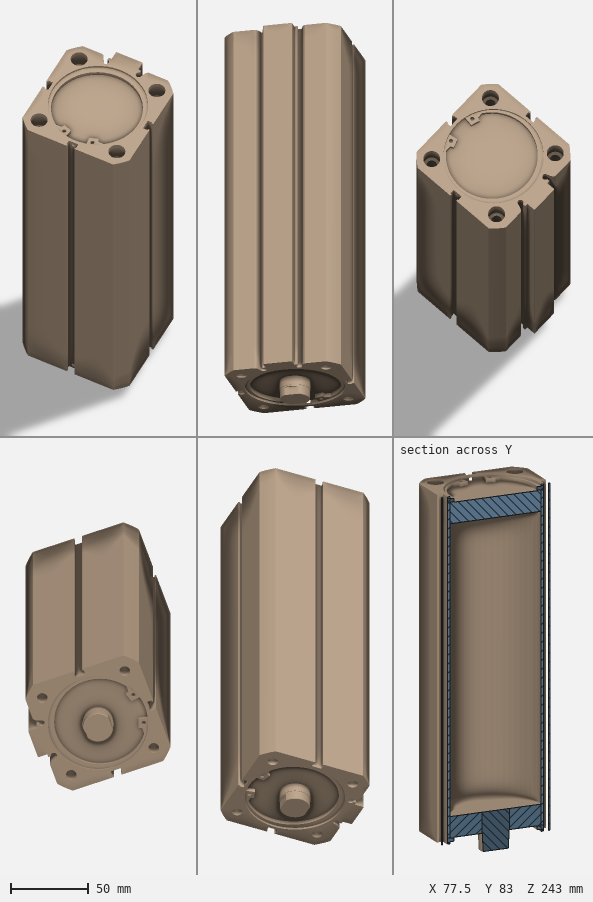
import cadquery as cq


overall_length = 243.0
rod_reach = 8.3
tube_length = overall_length - rod_reach
tube_width = 77.5
half_width = tube_width / 2
corner_round_radius = 49.5
bore_radius = 32.3

slot_depth = 4.4
slot_mouth_width = 5.0
slot_inner_width = 6.8
slot_lip_thickness = 1.2
slot_edge_round = 0.5

overall_depth = 83.0
rail_width = 19.2
rail_height = overall_depth - tube_width
rail_edge_round = 0.5
sensor_slot_x = 12.0
sensor_slot_y = 34.3
sensor_slot_radius = 2.0
sensor_flank_foot_x = sensor_slot_x + sensor_slot_radius
sensor_flank_top = (14.8, 36.7)
sensor_mouth_reach = 16.8
sensor_lip_x = 11.7
sensor_lip_drop = 0.7

mount_offset = 28.2
mount_hole_diameter = 6.8
counterbore_diameter = 11.0
counterbore_depth = 12.2

groove_depth = 2.1
groove_radius = bore_radius + groove_depth
groove_inset = 1.5
ring_thickness = 2.7
ring_inner_radius = 29.6
ring_inner_shift = -1.5
lug_hole_x = 10.2
lug_hole_y = -27.7
lug_hole_radius = 1.34
lug_shoulder_y = -25.5
lug_shoulder_start = 17.5
lug_outer_x = 13.4
lug_peak = (12.5, -23.3)
lug_gap_corner = (6.5, -25.3)
gap_outer_x = 8.0

cover_thickness = 14.5
cover_inset = groove_inset + ring_thickness

rod_radius = 10.0
rod_shoulder_reach = 2.0
rod_tip_radius = 9.7
rod_flat_offset = 8.5
rod_flat_length = 5.3
rod_tip_chamfer = 0.2


def cylinder(radius, bottom, height):
    return cq.Workplane("XY").workplane(offset=bottom).circle(radius).extrude(height)


def t_slot_cutter():
    """T-slot along the tube, open on the +X face, with rounded mouth edges."""
    floor = half_width - slot_depth
    lip = half_width - slot_lip_thickness
    mouth_half = slot_mouth_width / 2
    round_start = half_width - slot_edge_round
    mouth = (
        cq.Workplane("XY")
        .moveTo(floor, -mouth_half)
        .lineTo(round_start, -mouth_half)
        .radiusArc((half_width, -mouth_half - slot_edge_round), slot_edge_round)
        .lineTo(half_width, mouth_half + slot_edge_round)
        .radiusArc((round_start, mouth_half), slot_edge_round)
        .lineTo(floor, mouth_half)
        .close()
        .extrude(tube_length)
    )
    inner = cq.Workplane("XY").box(
        lip - floor, slot_inner_width, tube_length, centered=(False, True, False)
    ).translate((floor, 0, 0))
    return mouth.union(inner)


def sensor_slot_cutter():
    """Round-bottomed slot beside the rail, with a rounded outer flank and a lip on the rail side."""
    round_bottom = cylinder(sensor_slot_radius, 0, tube_length).translate(
        (sensor_slot_x, sensor_slot_y, 0)
    )
    mouth = (
        cq.Workplane("XY")
        .moveTo(sensor_lip_x, sensor_slot_y)
        .lineTo(sensor_flank_foot_x, sensor_slot_y)
        .lineTo(sensor_flank_top[0], sensor_flank_top[1])
        .tangentArcPoint((sensor_mouth_reach, half_width), relative=False)
        .lineTo(rail_width / 2, half_width)
        .lineTo(rail_width / 2, half_width - sensor_lip_drop)
        .lineTo(sensor_lip_x, half_width - sensor_lip_drop)
        .close()
        .extrude(tube_length)
    )
    return round_bottom.union(mouth)


def make_tube():
    square = cq.Workplane("XY").box(tube_width, tube_width, tube_length, centered=(True, True, False))
    tube = square.intersect(cylinder(corner_round_radius, 0, tube_length))

    rail = cq.Workplane("XY").box(
        rail_width, half_width + rail_height, tube_length, centered=(True, False, False)
    )
    rail = rail.faces(">Y").edges("|Z").fillet(rail_edge_round)
    tube = tube.union(rail)

    for angle in (0, 180, 270):
        tube = tube.cut(t_slot_cutter().rotate((0, 0, 0), (0, 0, 1), angle))
    tube = tube.cut(sensor_slot_cutter()).cut(sensor_slot_cutter().mirror("YZ"))

    tube = tube.cut(cylinder(bore_radius, 0, tube_length))
    for groove_bottom in (groove_inset, tube_length - cover_inset):
        tube = tube.cut(cylinder(groove_radius, groove_bottom, ring_thickness))

    return (
        tube.faces(">Z")
        .workplane(origin=(0, 0, tube_length))
        .rect(2 * mount_offset, 2 * mount_offset, forConstruction=True)
        .vertices()
        .cboreHole(mount_hole_diameter, counterbore_diameter, counterbore_depth)
    )


def make_retaining_ring(bottom):
    """Open ring, thickest opposite its gap, with a holed lug at each end of the gap."""
    ring = cylinder(groove_radius, bottom, ring_thickness)
    opening = cylinder(ring_inner_radius, bottom, ring_thickness).translate((0, ring_inner_shift, 0))
    lugs = (
        cq.Workplane("XY")
        .workplane(offset=bottom)
        .moveTo(lug_gap_corner[0], lug_gap_corner[1])
        .lineTo(lug_peak[0], lug_peak[1])
        .lineTo(lug_outer_x, lug_shoulder_y)
        .lineTo(lug_shoulder_start, lug_shoulder_y)
        .lineTo(lug_shoulder_start, -groove_radius)
        .lineTo(gap_outer_x, -groove_radius)
        .close()
        .extrude(ring_thickness)
    )
    lugs = lugs.union(lugs.mirror("YZ"))
    gap = (
        cq.Workplane("XY")
        .workplane(offset=bottom)
        .polyline(
            [
                (-lug_gap_corner[0], lug_gap_corner[1]),
                (lug_gap_corner[0], lug_gap_corner[1]),
                (gap_outer_x, -groove_radius),
                (-gap_outer_x, -groove_radius),
            ]
        )
        .close()
        .extrude(ring_thickness)
    )
    lug_holes = (
        cq.Workplane("XY")
        .workplane(offset=bottom)
        .pushPoints([(-lug_hole_x, lug_hole_y), (lug_hole_x, lug_hole_y)])
        .circle(lug_hole_radius)
        .extrude(ring_thickness)
    )
    return ring.cut(opening.cut(lugs)).cut(gap).cut(lug_holes)


def make_end_cover():
    return cylinder(bore_radius, tube_length - cover_inset - cover_thickness, cover_thickness)


def make_rod_cover():
    cover = cylinder(bore_radius, cover_inset, cover_thickness)
    return cover.cut(cylinder(rod_radius, cover_inset, cover_thickness))


def make_rod():
    """Rod ending flush with the inner face of its cover, with two spanner flats on its tip."""
    rod_top = cover_inset + cover_thickness
    rod = cylinder(rod_radius, -rod_shoulder_reach, rod_top + rod_shoulder_reach)
    tip = cylinder(rod_tip_radius, -rod_reach, rod_reach - rod_shoulder_reach)
    tip = tip.faces("<Z").edges().chamfer(rod_tip_chamfer)
    for side in (-1, 1):
        flat = cq.Workplane("XY").box(
            2 * rod_radius, rod_radius, rod_flat_length, centered=(True, True, False)
        ).translate((0, side * (rod_flat_offset + rod_radius / 2), -rod_reach))
        tip = tip.cut(flat)
    return rod.union(tip)


tube = make_tube()
retaining_rings = [
    make_retaining_ring(bottom) for bottom in (groove_inset, tube_length - cover_inset)
]
end_cover = make_end_cover()
rod_cover = make_rod_cover()
rod = make_rod()

result = cq.Compound.makeCompound(
    [
        tube.val(),
        *[ring.val() for ring in retaining_rings],
        end_cover.val(),
        rod_cover.val(),
        rod.val(),
    ]
)